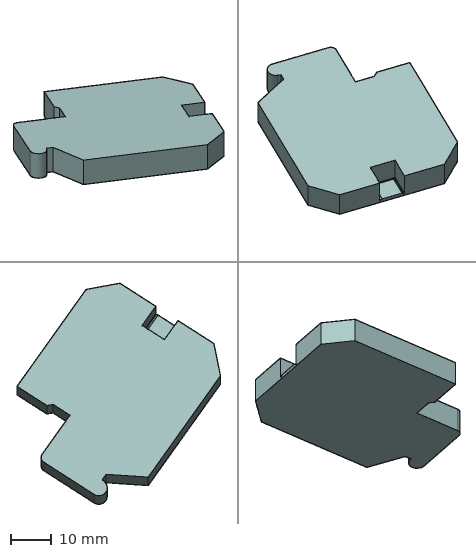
import cadquery as cq
import math

width = 40.0
height = 49.0
thickness = 6.7
corner_chamfer = 6.0

shoulder_y = 12.6
step_end_x = 10.0
step_size = 1.1

foot_left_x = 15.0
foot_corner_radius = 1.5

hook_center_x = 31.45
hook_radius = 2.1
hook_slope = math.radians(10)
undercut_x = 31.0
undercut_top_y = 6.0
ramp_slope = math.radians(30)

pocket_width = 6.6
pocket_length = 6.0
pocket_floor_z = 0.75

pad_gap = 0.2
pad_bevel_width = 0.45
pad_bevel_slope = math.radians(30)


def plate():
    ramp_end_y = undercut_top_y + (width - undercut_x) * math.tan(ramp_slope)
    shoulder_top_y = shoulder_y + step_size

    hook_tip = (hook_center_x + hook_radius, hook_radius)
    hook_end_x = hook_center_x + hook_radius * math.sin(hook_slope)
    hook_end_y = hook_radius + hook_radius * math.cos(hook_slope)
    undercut_bottom_y = hook_end_y + (hook_end_x - undercut_x) * math.tan(hook_slope)

    outline = (
        cq.Workplane("XY")
        .moveTo(0, shoulder_y)
        .lineTo(step_end_x - step_size, shoulder_y)
        .lineTo(step_end_x, shoulder_top_y)
        .lineTo(foot_left_x, shoulder_top_y)
        .lineTo(foot_left_x, foot_corner_radius)
        .radiusArc((foot_left_x + foot_corner_radius, 0), -foot_corner_radius)
        .lineTo(hook_center_x, 0)
        .threePointArc(hook_tip, (hook_end_x, hook_end_y))
        .lineTo(undercut_x, undercut_bottom_y)
        .lineTo(undercut_x, undercut_top_y)
        .lineTo(width, ramp_end_y)
        .lineTo(width, height - corner_chamfer)
        .lineTo(width - corner_chamfer, height)
        .lineTo(corner_chamfer, height)
        .lineTo(0, height - corner_chamfer)
        .close()
    )
    return outline.extrude(thickness)


def pocket():
    return (
        cq.Workplane("XY", origin=(width / 2, height, pocket_floor_z))
        .rect(pocket_width, 2 * pocket_length)
        .extrude(thickness - pocket_floor_z)
    )


def pad():
    """Low frustum on the pocket floor; the half beyond the upper edge of the plate is cut away."""
    pad_height = pad_bevel_width * math.tan(pad_bevel_slope)
    base_width = pocket_width - 2 * pad_gap
    base_length = pocket_length - pad_gap
    frustum = (
        cq.Workplane("XY", origin=(width / 2, height, pocket_floor_z))
        .rect(base_width, 2 * base_length)
        .extrude(pad_height, taper=90 - math.degrees(pad_bevel_slope))
    )
    outer_half = (
        cq.Workplane("XY", origin=(width / 2, height + base_length / 2, pocket_floor_z))
        .rect(base_width, base_length)
        .extrude(pad_height)
    )
    return frustum.cut(outer_half)


result = plate().cut(pocket()).union(pad())